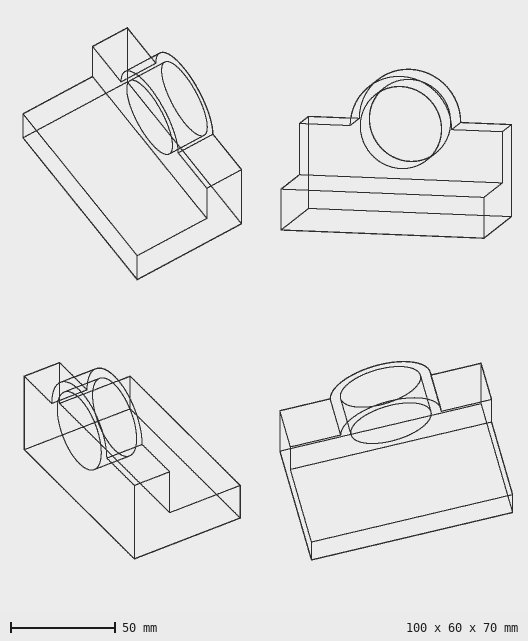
import cadquery as cq

length = 100.0
depth = 60.0
base_height = 20.0
wall_thickness = 20.0
shoulder_height = 45.0
ring_diameter = 50.0
bore_diameter = 40.0

wall_front = depth / 2 - wall_thickness
wall_back = depth / 2


def wall_cylinder(diameter):
    """Cylinder along Y through the wall thickness, on the bore axis."""
    return (
        cq.Workplane("XZ", origin=(0, wall_back, shoulder_height))
        .circle(diameter / 2)
        .extrude(wall_thickness)
    )


base = cq.Workplane("XY").box(length, depth, base_height, centered=(True, True, False))

wall = (
    cq.Workplane("XY", origin=(0, wall_front, 0))
    .box(length, wall_thickness, shoulder_height, centered=(True, False, False))
)

ring = wall_cylinder(ring_diameter)
bore = wall_cylinder(bore_diameter)

result = base.union(wall).union(ring).cut(bore)